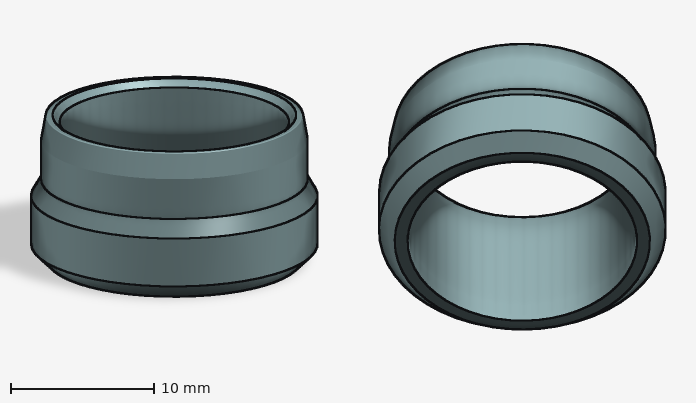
import cadquery as cq
import math

height = 10.5
bore_radius = 16 / 2
neck_radius = 18.6 / 2
body_radius = 20 / 2

foot_chamfer = 1.1
shoulder_bottom_z = 4.6
shoulder_angle = 30
shoulder_height = (body_radius - neck_radius) / math.tan(math.radians(shoulder_angle))
shoulder_top_z = shoulder_bottom_z + shoulder_height

taper_bottom_z = 8.7
taper_angle = 10
taper_inset = (height - taper_bottom_z) * math.tan(math.radians(taper_angle))
rim_radius = neck_radius - taper_inset
rim_fillet = 0.1

mouth_radius = 8.5
mouth_depth = mouth_radius - bore_radius


def ring_body():
    """Ring revolved about Z from a half section of (radius, z) points."""
    half_section = [
        (bore_radius, 0),
        (body_radius - foot_chamfer, 0),
        (body_radius, foot_chamfer),
        (body_radius, shoulder_bottom_z),
        (neck_radius, shoulder_top_z),
        (neck_radius, taper_bottom_z),
        (rim_radius, height),
        (mouth_radius, height),
        (bore_radius, height - mouth_depth),
    ]
    section = cq.Workplane("XZ").polyline(half_section).close()
    return section.revolve(360, (0, 0, 0), (0, 1, 0))


def round_rim(ring):
    """Round the outer edge of the top face, the larger of its two circles."""
    rim_edge = ring.faces(">Z").edges(cq.selectors.RadiusNthSelector(-1))
    return rim_edge.fillet(rim_fillet)


result = round_rim(ring_body())